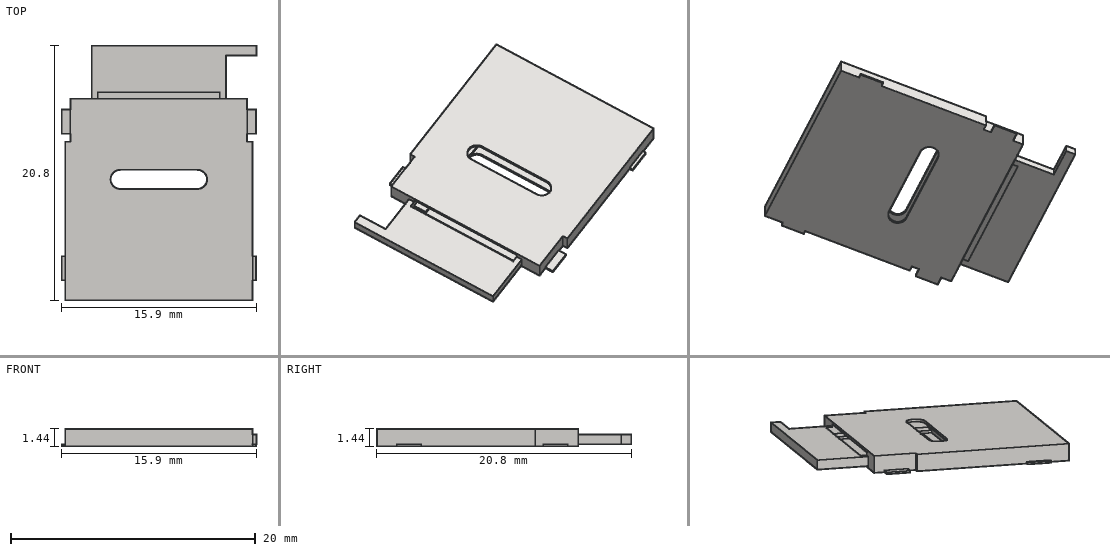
import cadquery as cq

total_length = 20.8
height = 1.44

housing_width = 15.3
housing_length = 16.47
neck_width = 14.44
shoulder_y = 12.95
lid_thickness = 0.2

tab_span = 15.9
tab_thickness = 0.17
tab_length = 2.0
tab_front_edges = (1.62, 13.6)

tray_width = 10.98
tray_bottom = 0.17
tray_top = 0.98
arm_tip_x = 7.99
arm_width = 0.81

cavity_width = 9.98
cavity_front = 8.32
cavity_rear = housing_length + 0.52
cavity_floor = 0.2
step_x = 3.87
step_height = 0.2

slot_length = 7.86
slot_width = 1.54
slot_y = 9.88


def block(x_start, x_end, y_start, y_end, z_start, z_end):
    """Box spanning the given limits."""
    size = (x_end - x_start, y_end - y_start, z_end - z_start)
    return cq.Workplane("XY").box(*size, centered=False).translate((x_start, y_start, z_start))


def centred_block(width, y_start, y_end, z_start, z_end):
    """Box symmetric about the housing centre plane."""
    return block(-width / 2, width / 2, y_start, y_end, z_start, z_end)


def make_housing():
    wide_part = centred_block(housing_width, 0, shoulder_y, 0, height)
    neck = centred_block(neck_width, 0, housing_length, 0, height)
    housing = wide_part.union(neck)
    for front_edge in tab_front_edges:
        tabs = centred_block(tab_span, front_edge, front_edge + tab_length, 0, tab_thickness)
        housing = housing.union(tabs)
    return housing


def make_tray():
    plate = centred_block(tray_width, shoulder_y, total_length, tray_bottom, tray_top)
    arm = block(0, arm_tip_x, total_length - arm_width, total_length, tray_bottom, tray_top)
    return plate.union(arm)


def make_cavity():
    """Hollow with a raised step in its floor at the +X end."""
    hollow = centred_block(
        cavity_width, cavity_front, cavity_rear, cavity_floor, height - lid_thickness
    )
    step = block(
        step_x, cavity_width / 2, cavity_front, housing_length, cavity_floor, cavity_floor + step_height
    )
    return hollow.cut(step)


def make_slot():
    return cq.Workplane("XY").center(0, slot_y).slot2D(slot_length, slot_width).extrude(height)


result = make_housing().union(make_tray()).cut(make_cavity()).cut(make_slot())